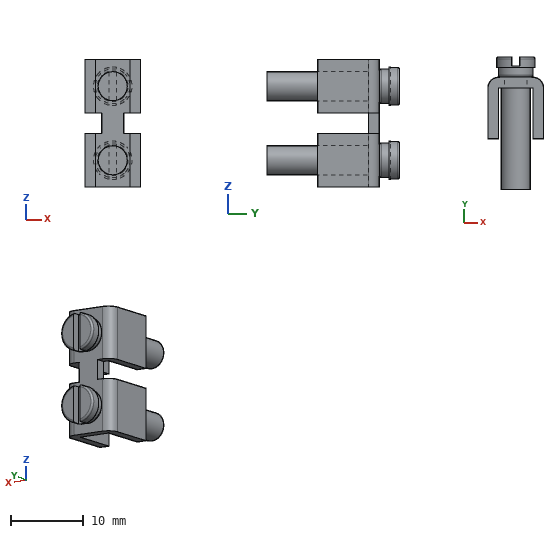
import cadquery as cq

overall_length = 18.3
overall_height = 17.6

clamp_width = 7.7
wall = 1.5
corner_radius = wall
clamp_gap = 2.8
leg_end_y = 6.99
clamp_back_y = 15.5
web_width = 3.05

shank_diameter = 4.0
collar_diameter = 4.8
head_diameter = 5.3
head_height = 1.5
edge_radius = 0.3
slot_width = 1.05
slot_depth = 1.23

clamp_height = (overall_height - clamp_gap) / 2
clamp_offset = (clamp_height + clamp_gap) / 2
head_base_y = overall_length - head_height


def make_box(width, start_y, end_y, height):
    """Box centred on X and Z between two Y positions."""
    return cq.Workplane("XY").box(width, end_y - start_y, height).translate((0, (start_y + end_y) / 2, 0))


def make_cylinder(diameter, start_y, end_y):
    """Cylinder along Y between two Y positions."""
    return cq.Workplane("XZ", origin=(0, start_y, 0)).circle(diameter / 2).extrude(start_y - end_y)


def make_clamp():
    """U-shaped clamp open towards -Y, with rounded outer back corners."""
    body = make_box(clamp_width, leg_end_y, clamp_back_y, clamp_height)
    body = body.edges("|Z and >Y").fillet(corner_radius)
    opening = make_box(clamp_width - 2 * wall, leg_end_y, clamp_back_y - wall, clamp_height)
    return body.cut(opening)


def make_screw():
    """Shank, rounded collar and slotted head."""
    shank = make_cylinder(shank_diameter, 0, head_base_y)
    collar = make_cylinder(collar_diameter, clamp_back_y, head_base_y).faces("<Y").edges().fillet(edge_radius)
    head = make_cylinder(head_diameter, head_base_y, overall_length).faces(">Y").edges().fillet(edge_radius)
    slot = make_box(slot_width, overall_length - slot_depth, overall_length, head_diameter)
    return shank.union(collar).union(head.cut(slot))


result = make_box(web_width, clamp_back_y - wall, clamp_back_y, 2 * clamp_offset)
for side in (-1, 1):
    clamp_and_screw = make_clamp().union(make_screw())
    result = result.union(clamp_and_screw.translate((0, 0, side * clamp_offset)))